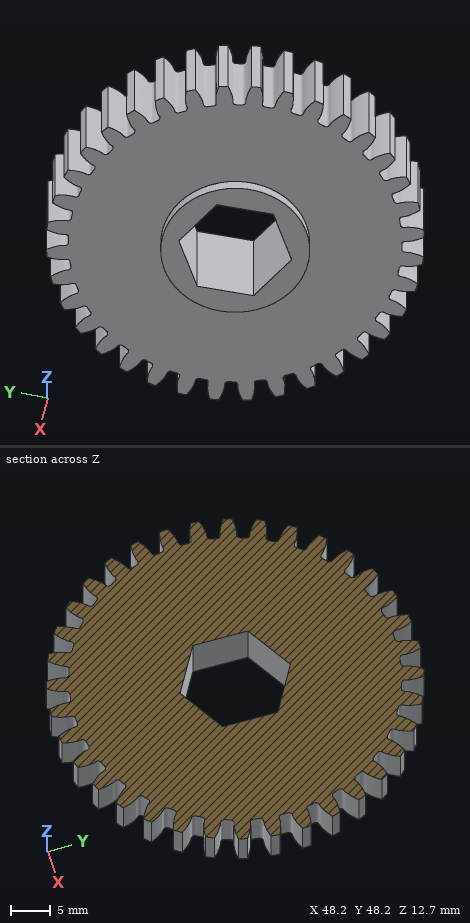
import cadquery as cq
import math

tooth_count = 36
tip_radius = 24.15
pressure_angle = math.radians(14.5)
dedendum_factor = 1.25
root_fillet = 0.45
flank_points = 5

gear_thickness = 9.5
hub_height = 1.6
hub_diameter = 19.0
hex_across_flats = 12.7
slot_width = 1.6

module = 2 * tip_radius / (tooth_count + 2)
pitch_radius = module * tooth_count / 2
base_radius = pitch_radius * math.cos(pressure_angle)
root_radius = pitch_radius - dedendum_factor * module
tooth_pitch = 2 * math.pi / tooth_count
total_height = gear_thickness + 2 * hub_height


def polar(radius, angle):
    return (radius * math.cos(angle), radius * math.sin(angle))


def involute_angle(radius):
    """Angle swept by the involute between the base circle and a radius."""
    angle = math.acos(base_radius / radius)
    return math.tan(angle) - angle


def make_gear():
    """Gear with a tooth gap centred on the X axis."""
    base_gap_angle = tooth_pitch / 4 - involute_angle(pitch_radius)

    fillet_centre_radius = root_radius + root_fillet
    fillet_centre_angle = base_gap_angle - math.asin(root_fillet / fillet_centre_radius)
    fillet_top_radius = math.sqrt(fillet_centre_radius**2 - root_fillet**2)
    centre = polar(fillet_centre_radius, fillet_centre_angle)
    middle_direction = (fillet_centre_angle + math.pi + base_gap_angle + math.pi / 2) / 2
    offset = polar(root_fillet, middle_direction)
    fillet_middle = (centre[0] + offset[0], centre[1] + offset[1])
    middle_radius = math.hypot(*fillet_middle)
    middle_angle = math.atan2(fillet_middle[1], fillet_middle[0])

    flank = []
    for i in range(flank_points):
        radius = base_radius + (tip_radius - base_radius) * i / (flank_points - 1)
        flank.append((radius, base_gap_angle + involute_angle(radius)))
    tip_angle = flank[-1][1]

    outline = cq.Workplane("XY").moveTo(*polar(root_radius, -fillet_centre_angle))
    for i in range(tooth_count):
        gap = i * tooth_pitch
        next_gap = gap + tooth_pitch
        rising = [polar(r, gap + a) for r, a in flank]
        falling = [polar(r, next_gap - a) for r, a in reversed(flank)]
        outline = (
            outline
            .threePointArc(polar(root_radius, gap), polar(root_radius, gap + fillet_centre_angle))
            .threePointArc(
                polar(middle_radius, gap + middle_angle),
                polar(fillet_top_radius, gap + base_gap_angle),
            )
            .lineTo(*rising[0])
            .spline(rising[1:], includeCurrent=True)
            .threePointArc(
                polar(tip_radius, gap + tooth_pitch / 2),
                polar(tip_radius, next_gap - tip_angle),
            )
            .spline(falling[1:], includeCurrent=True)
            .lineTo(*polar(fillet_top_radius, next_gap - base_gap_angle))
            .threePointArc(
                polar(middle_radius, next_gap - middle_angle),
                polar(root_radius, next_gap - fillet_centre_angle),
            )
        )
    return outline.close().extrude(gear_thickness).translate((0, 0, -gear_thickness / 2))


def make_hub():
    """Round hub standing out equally from both gear faces."""
    return cq.Workplane("XY").circle(hub_diameter / 2).extrude(total_height / 2, both=True)


def make_bore():
    """Hexagonal through bore with corners on the Y axis."""
    hex_across_corners = hex_across_flats / math.cos(math.pi / 6)
    return (
        cq.Workplane("XY")
        .transformed(rotate=(0, 0, 90))
        .polygon(6, hex_across_corners)
        .extrude(total_height / 2, both=True)
    )


def make_slot():
    """Slot from the bore out through the +Y side of the upper hub, down to the gear face."""
    slot_length = hub_diameter / 2
    return (
        cq.Workplane("XY")
        .workplane(offset=gear_thickness / 2)
        .center(0, slot_length / 2)
        .rect(slot_width, slot_length)
        .extrude(hub_height)
    )


result = make_gear().union(make_hub()).cut(make_bore()).cut(make_slot())